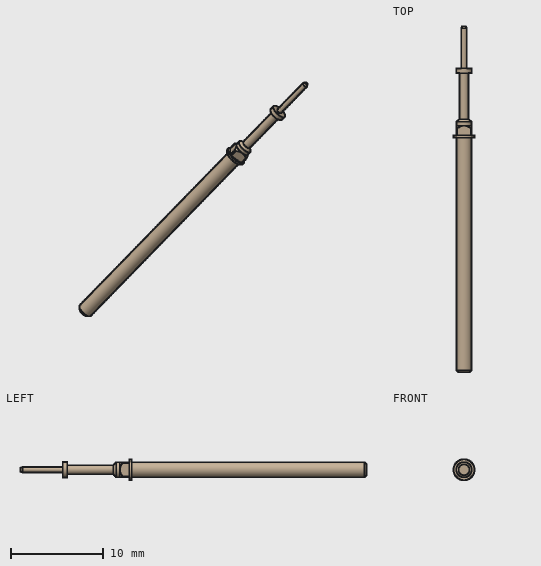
import cadquery as cq


barrel_diameter = 1.68
barrel_length = 25.5
barrel_end_chamfer = 0.25

flange_diameter = 2.3
flange_thickness = 0.25

square_width = barrel_diameter
square_corner_diameter = 2.2
square_length = 1.03

neck_diameter = barrel_diameter
neck_length = 0.42
neck_cone_length = 0.3

shank_diameter = 1.0
shank_length = 5.0
collar_diameter = 1.7
collar_thickness = 0.5
tip_diameter = 0.6
tip_chamfer_length = 0.25
tip_chamfer_depth = 0.1
total_length = 37.6

barrel_end_y = -barrel_length
tip_end_y = total_length - barrel_length
square_start_y = flange_thickness
square_end_y = square_start_y + square_length
neck_end_y = square_end_y + neck_length
shank_start_y = neck_end_y + neck_cone_length
collar_start_y = shank_start_y + shank_length
collar_end_y = collar_start_y + collar_thickness


def rod(diameter, start_y, end_y):
    """Round rod on the Y axis between two stations."""
    circle = cq.Workplane("XZ", origin=(0, start_y, 0)).circle(diameter / 2)
    return circle.extrude(start_y - end_y)


def make_barrel():
    barrel = rod(barrel_diameter, barrel_end_y, square_start_y)
    return barrel.faces("<Y").chamfer(barrel_end_chamfer)


def make_square_section():
    """Square bar with turned corners and a 45 degree turned front edge."""
    bar = cq.Workplane("XZ", origin=(0, square_start_y, 0)).rect(square_width, square_width)
    bar = bar.extrude(-square_length)
    corner_chamfer = (square_corner_diameter - neck_diameter) / 2
    envelope = rod(square_corner_diameter, square_start_y, square_end_y)
    envelope = envelope.faces(">Y").chamfer(corner_chamfer)
    return bar.intersect(envelope)


def make_neck():
    """Round neck, with a cone that narrows to the shank."""
    neck_radius = neck_diameter / 2
    profile = (
        cq.Workplane("XY")
        .moveTo(0, square_start_y)
        .lineTo(neck_radius, square_start_y)
        .lineTo(neck_radius, neck_end_y)
        .lineTo(shank_diameter / 2, shank_start_y)
        .lineTo(0, shank_start_y)
        .close()
    )
    return profile.revolve(360, (0, 0, 0), (0, 1, 0))


def make_tip():
    tip = rod(tip_diameter, collar_end_y, tip_end_y)
    return tip.faces(">Y").chamfer(tip_chamfer_length, tip_chamfer_depth)


flange = rod(flange_diameter, 0, flange_thickness)
shank = rod(shank_diameter, shank_start_y, collar_start_y)
collar = rod(collar_diameter, collar_start_y, collar_end_y)

result = make_barrel().union(flange).union(make_square_section()).union(make_neck())
result = result.union(shank).union(collar).union(make_tip())